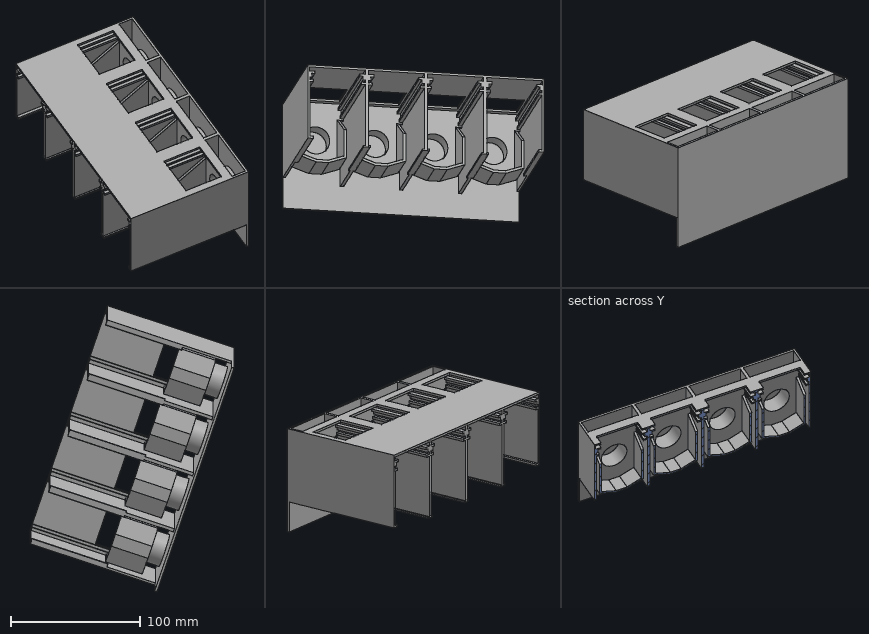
import cadquery as cq

WIDTH = 186.0
DEPTH = 103.5
HEIGHT = 84.5

BAY_COUNT = 4
PITCH = WIDTH / BAY_COUNT
BAY_CENTERS = [(i - (BAY_COUNT - 1) / 2) * PITCH for i in range(BAY_COUNT)]

TOP_THICKNESS = 1.9
SHEET = 2.0
PARTITION = 2.6
SIDE_WALL = 1.9
SIDE_BOTTOM = 24.7
PARTITION_BOTTOM = 20.3
CEILING = HEIGHT - TOP_THICKNESS
BAY_HALF = (PITCH - PARTITION) / 2

BACK_FACE = DEPTH - SHEET
SLOT_DEPTH = 11.5
WALL_REAR = BACK_FACE - SLOT_DEPTH
WALL_FRONT = WALL_REAR - SHEET
POCKET_REAR = DEPTH - 20.8
POCKET_FRONT = DEPTH - 52.0
TRAY_FRONT = DEPTH - 43.5
FOOT_REAR = DEPTH - 41.5

UPPER_GAP_HALF = 17.7
UPPER_RAIL_TOP = 79.5
UPPER_RAIL_BOTTOM = 77.5
NECK_GAP_HALF = 20.0
NECK_BOTTOM = 74.5
LOWER_GAP_HALF = 19.0
LOWER_RAIL_TOP = 72.7
LOWER_RAIL_BOTTOM = 70.9

SIDE_FOOT_WIDTH = 4.3
SIDE_FOOT_HEIGHT = 1.9
PARTITION_FOOT_WIDTH = 5.2
PARTITION_FOOT_HEIGHT = 1.3

TRAY_OUTER_HALF = LOWER_GAP_HALF
TRAY_INNER_HALF = TRAY_OUTER_HALF - SHEET
TRAY_TOP = 69.5
TRAY_FRONT_TOP = 53.0
FLOOR_HALF = 4.6
FLOOR_Z = 27.5
FLOOR_SIDE_Z = 31.8

TUBE_Z = 52.0
BORE_RADIUS = 11.0
TUBE_RADIUS = BORE_RADIUS + SHEET


def block(x0, x1, y0, y1, z0, z1):
    """Box between two opposite corners."""
    return cq.Workplane("XY").box(x1 - x0, y1 - y0, z1 - z0, centered=False).translate((x0, y0, z0))


def front_profile(y):
    """Sketch plane facing the open front at the given Y; extruding it goes toward the front."""
    return cq.Workplane("XZ", origin=(0, y, 0))


def top_plate():
    """Top plate with a pocket over each bay and slots along the rear, reaching to the bay boundaries."""
    half = WIDTH / 2
    plate = block(-half, half, 0, DEPTH, CEILING, HEIGHT)
    pocket = block(-UPPER_GAP_HALF, UPPER_GAP_HALF, POCKET_FRONT, POCKET_REAR, CEILING, HEIGHT)
    slot = block(-PITCH / 2, PITCH / 2, WALL_REAR, BACK_FACE, CEILING, HEIGHT)
    for x in BAY_CENTERS:
        plate = plate.cut(pocket.translate((x, 0, 0))).cut(slot.translate((x, 0, 0)))
    return plate


def side_wall():
    """Left side wall with its foot and the shallow groove under the top plate."""
    outside = -WIDTH / 2
    inside = outside + SIDE_WALL
    foot_top = SIDE_BOTTOM + SIDE_FOOT_HEIGHT
    wall = block(outside, inside, 0, DEPTH, SIDE_BOTTOM, HEIGHT)
    groove = block(outside + PARTITION / 2, inside, 0, WALL_FRONT, UPPER_RAIL_TOP, CEILING)
    foot = block(outside, outside + SIDE_FOOT_WIDTH, 0, FOOT_REAR, SIDE_BOTTOM, foot_top)
    return wall.cut(groove).union(foot)


def partition(x):
    """Wall between two bays, with a foot that overhangs on both sides."""
    half = PARTITION / 2
    foot_half = PARTITION_FOOT_WIDTH / 2
    foot_top = PARTITION_BOTTOM + PARTITION_FOOT_HEIGHT
    wall = block(x - half, x + half, 0, DEPTH, PARTITION_BOTTOM, HEIGHT)
    foot = block(x - foot_half, x + foot_half, 0, FOOT_REAR, PARTITION_BOTTOM, foot_top)
    return wall.union(foot)


def rails():
    """Stepped rails on the left and right of a bay centred on X = 0."""
    steps = [
        (UPPER_GAP_HALF, UPPER_RAIL_BOTTOM, UPPER_RAIL_TOP),
        (NECK_GAP_HALF, NECK_BOTTOM, UPPER_RAIL_BOTTOM),
        (LOWER_GAP_HALF, LOWER_RAIL_BOTTOM, LOWER_RAIL_TOP),
    ]
    bay_rails = cq.Workplane("XY")
    for gap_half, bottom, top in steps:
        rail = block(gap_half, BAY_HALF, 0, WALL_FRONT, bottom, top)
        bay_rails = bay_rails.add(rail).add(rail.mirror("YZ"))
    return bay_rails.combine()


def trough_section(half, floor_half, floor_z, floor_side_z):
    """Outline of the trough, closed at the top of its side walls."""
    return [
        (-half, TRAY_TOP),
        (-half, floor_side_z),
        (-floor_half, floor_z),
        (floor_half, floor_z),
        (half, floor_side_z),
        (half, TRAY_TOP),
    ]


def tray_and_wall():
    """Inner wall with the tray in front of it, for a bay centred on X = 0."""
    slope = (FLOOR_SIDE_Z - FLOOR_Z) / (TRAY_INNER_HALF - FLOOR_HALF)
    slope_drop = SHEET * (1 + slope**2) ** 0.5
    outer_side_z = FLOOR_SIDE_Z - slope_drop + slope * SHEET
    outer_floor_z = FLOOR_Z - SHEET
    outer_floor_half = TRAY_OUTER_HALF - (outer_side_z - outer_floor_z) / slope
    outer = trough_section(TRAY_OUTER_HALF, outer_floor_half, outer_floor_z, outer_side_z)
    inner = trough_section(TRAY_INNER_HALF, FLOOR_HALF, FLOOR_Z, FLOOR_SIDE_Z)

    tray = front_profile(WALL_REAR).polyline(outer).close().extrude(WALL_REAR - TRAY_FRONT)
    tray = tray.cut(front_profile(WALL_FRONT).polyline(inner).close().extrude(WALL_FRONT - TRAY_FRONT))
    sloped_top = (
        cq.Workplane("YZ")
        .polyline([(WALL_FRONT, TRAY_TOP), (TRAY_FRONT, TRAY_TOP), (TRAY_FRONT, TRAY_FRONT_TOP)])
        .close()
        .extrude(TRAY_OUTER_HALF, both=True)
    )
    upper_wall = block(-BAY_HALF, BAY_HALF, WALL_FRONT, WALL_REAR, TRAY_TOP, CEILING)
    return tray.cut(sloped_top).union(upper_wall)


def cylinder_along_y(radius, y0, y1):
    """Cylinder at the tube height between two Y places."""
    return front_profile(y1).center(0, TUBE_Z).circle(radius).extrude(y1 - y0)


result = top_plate().union(block(-WIDTH / 2, WIDTH / 2, BACK_FACE, DEPTH, 0, HEIGHT))
result = result.union(side_wall()).union(side_wall().mirror("YZ"))
for left_bay, right_bay in zip(BAY_CENTERS, BAY_CENTERS[1:]):
    result = result.union(partition((left_bay + right_bay) / 2))

tube = cylinder_along_y(TUBE_RADIUS, WALL_REAR, BACK_FACE)
bore = cylinder_along_y(BORE_RADIUS, WALL_FRONT, BACK_FACE)
bay_fittings = rails().union(tray_and_wall()).union(tube).cut(bore)
for bay_center in BAY_CENTERS:
    result = result.union(bay_fittings.translate((bay_center, 0, 0)))